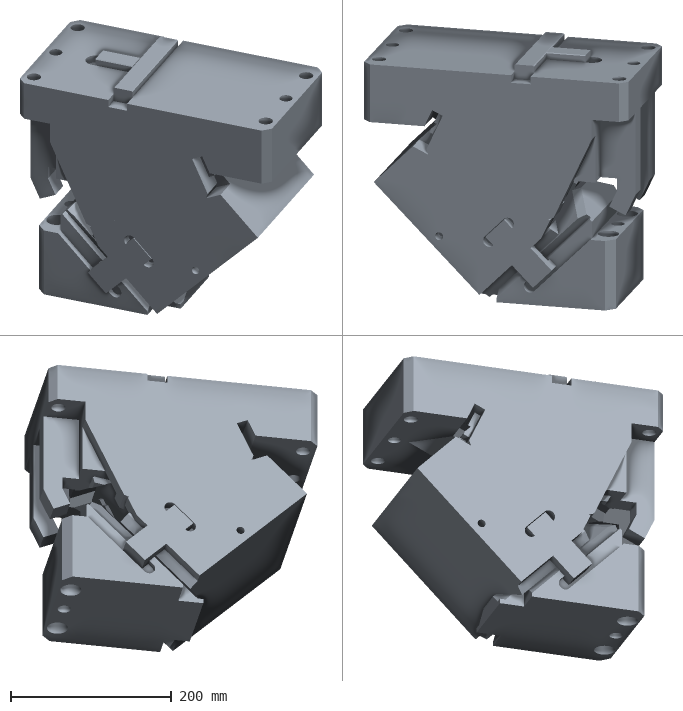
import cadquery as cq
import math

HOLDER_ANGLE = 25.0
BASE_ANGLE = -45.0
SLIDE_COS = math.cos(math.radians(HOLDER_ANGLE))
SLIDE_SIN = math.sin(math.radians(HOLDER_ANGLE))
ROOF_SLOPE = math.tan(math.radians(30.0))
REACH = 408.0

LENGTH = 340.0
WIDTH = 180.0
HALF_WIDTH = WIDTH / 2
TOP_Z = 300.0
PLATE_RIGHT_Z = 225.0
PLATE_LEFT_Z = 250.0
PLATE_CORNER = 10.0
LEFT_HOLE_X = 14.5
LEFT_HOLE_Y = 70.0
RIGHT_HOLE_X = 325.0
RIGHT_HOLE_Y = 64.5
CORNER_HOLE_DIAMETER = 17.7
MIDDLE_HOLE_DIAMETER = 16.3

KEY_TOP_Z = 309.0
KEY_X = 123.5
KEY_WIDTH = 25.0
KEY_LENGTH = 146.2
KEY_BEVEL = 1.0
KEY_SEAT_DEPTH = 10.0
KEY_SEAT_Z = TOP_Z - KEY_SEAT_DEPTH
STEM_X = 73.5
STEM_SEAT_X = 55.8

CHEEK_START = 135.3
CHEEK_END = 316.0
CHEEK_BOTTOM = 63.2
CHEEK_CORNER = 5.0
SLOT_END = 330.8
SLOT_TOP = 118.0

BLOCK_X = 45.0
BLOCK_BACK_X = 102.0
BLOCK_BOTTOM_Z = 163.2
BLOCK_END = 324.0
KEEL_BOTTOM = 74.5
KEEL_END = 408.0
PAD_START = 123.8
PAD_END = 170.0
PAD_HALF = 49.3
PAD_THICKNESS = 11.5
PAD_BOTTOM_Z = 156.7

HOOK_INNER_Y = 21.5
HOOK_THICKNESS = 25.0
HOOK_SHANK = 23.8
HOOK_BEND_Z = 143.5
HOOK_TIP_LENGTH = 30.3
HOOK_TIP_WIDTH = 23.0

NECK_HALF = 59.0
HEAD_HALF = 71.0
HEAD_BOTTOM = 83.0
HEAD_EAVE = 97.2
CREST_HALF = 18.0
THROAT_START = 68.0
RELIEF_HALF = 20.5
RELIEF_PEAK_HALF = 17.0
RELIEF_TOP = 142.8
RIB_HALF = 12.0
RIB_BOTTOM = 136.0

TRUNK_START = 138.0
HEAD_START = 140.5
HEAD_END = 324.0
BOSS_START = 135.5
BOSS_HALF = 15.0
BOSS_BOTTOM = 34.0
BOSS_FLARE_HALF = 20.0
BOSS_FLARE_TOP = 100.3
BOSS_TOP = 111.5
BOSS_CORNER = 3.0

SLIDER_NOSE = 334.2
SLIDER_BACK = 125.5
SLIDER_BOTTOM = 142.0
RIDGE_START = 0.7
RIDGE_HALF = 69.5
RIDGE_BOTTOM = 131.0
RIDGE_OVERLAP = 3.5
KEEPER_START = 32.3
KEEPER_END = 66.3
KEEPER_BOTTOM = 103.7
KEEPER_HOOK_TOP = 115.5
POCKET_CENTRE = 183.5
POCKET_RADIUS = 7.8
POCKET_GAP = 1.0
SIDE_HOLE_X = 241.0
SIDE_HOLE_Z = 84.0
SIDE_HOLE_DIAMETER = 10.2
SIDE_HOLE_DEPTH = 17.0

BASE_X = 20.0
BASE_END_X = 202.3
BASE_HALF = 77.0
BASE_CORNER = 11.0
LEDGE_X = 50.0
LEDGE_Z = 90.0
TAIL_X = 170.7
TAIL_HALF = 45.5
FOOT_Z = 6.0
BASE_HOLE_X = 35.0
BASE_HOLE_Y = 45.2
BASE_HOLE_DIAMETER = 26.2
BASE_MIDDLE_HOLE_DIAMETER = 16.3

BASE_GUIDE_START = -43.5
LEAD_IN_END = -32.0
LEAD_IN_DROP = 5.0
BASE_EAVE = 124.0
BASE_CREST = BASE_EAVE + (BASE_HALF - CREST_HALF) * ROOF_SLOPE
SIDE_WALL_HALF = 69.0
SIDE_SLOT_BOTTOM = 99.3
SIDE_SLOT_RADIUS = 7.8
SIDE_SLOT_END = 73.5
SIDE_SLOT_LIP = 117.5
UNDERCUT_HALF = 62.0
UNDERCUT_ROOT = 119.7
UNDERCUT_TOP = 130.0



def on_slide(angle, along, across):
    """X and Z of a point given along and across a slide."""
    c = math.cos(math.radians(angle))
    s = math.sin(math.radians(angle))
    return along * c - across * s, along * s + across * c


def on_holder(along, across):
    return on_slide(HOLDER_ANGLE, along, across)


def on_base(along, across):
    return on_slide(BASE_ANGLE, along, across)


def slab(outline, y_low, y_high):
    """X-Z outline extruded from y_low to y_high."""
    return cq.Workplane("XZ", origin=(0, y_high, 0)).polyline(outline).close().extrude(y_high - y_low)


def block(x_low, x_high, half_width, z_low, z_high):
    """Upright block centred on Y."""
    outline = [(x_low, z_low), (x_high, z_low), (x_high, z_high), (x_low, z_high)]
    return slab(outline, -half_width, half_width)


def base_slide_block(along_low, along_high, across_low, across_high, y_low, y_high):
    """Block with its sides along and across the base slide."""
    outline = [
        on_base(along_low, across_low), on_base(along_high, across_low),
        on_base(along_high, across_high), on_base(along_low, across_high),
    ]
    return slab(outline, y_low, y_high)


def base_slide_disc(along, across, radius, y_low, y_high):
    x, z = on_base(along, across)
    return cq.Workplane("XZ", origin=(x, y_high, z)).circle(radius).extrude(y_high - y_low)


def section_plane(angle, along):
    """Plane square to a slide, with Y to the side and the slide normal up."""
    x, z = on_slide(angle, along, 0)
    direction_x, direction_z = on_slide(angle, 1, 0)
    return cq.Plane(origin=(x, 0, z), xDir=(0, 1, 0), normal=(direction_x, 0, direction_z))


def rail(angle, start, end, section):
    """Section of (y, across) points extruded along a slide."""
    return cq.Workplane(section_plane(angle, start)).polyline(section).close().extrude(end - start)


def symmetric(half_section):
    """Half section on +Y, listed from the bottom up, completed on -Y."""
    return half_section + [(-y, across) for y, across in reversed(half_section)]


def both_sides(shape):
    return shape.union(shape.mirror("XZ"))


def drill_down(body, x, y, top_z, diameter):
    return body.cut(cq.Workplane(origin=(x, y, top_z)).circle(diameter / 2).extrude(-REACH))



def guide_roof(y):
    return HEAD_EAVE + (HEAD_HALF - y) * ROOF_SLOPE


def guide_section():
    return symmetric([
        (NECK_HALF, CHEEK_BOTTOM), (NECK_HALF, HEAD_BOTTOM), (HEAD_HALF, HEAD_BOTTOM),
        (HEAD_HALF, HEAD_EAVE), (CREST_HALF, guide_roof(CREST_HALF)),
    ])



def holder_profile():
    keel_side_x = (SLOT_END - PLATE_RIGHT_Z * SLIDE_SIN) / SLIDE_COS
    cheek_top_z = (CHEEK_START - BLOCK_X * SLIDE_COS) / SLIDE_SIN
    outline = [
        (0, PLATE_LEFT_Z), (0, TOP_Z), (LENGTH, TOP_Z), (LENGTH, PLATE_RIGHT_Z),
        (keel_side_x, PLATE_RIGHT_Z),
        on_holder(SLOT_END, SLOT_TOP), on_holder(CHEEK_END, SLOT_TOP),
        on_holder(CHEEK_END, CHEEK_BOTTOM + CHEEK_CORNER),
        on_holder(CHEEK_END - CHEEK_CORNER, CHEEK_BOTTOM),
        on_holder(CHEEK_START + CHEEK_CORNER, CHEEK_BOTTOM),
        on_holder(CHEEK_START, CHEEK_BOTTOM + CHEEK_CORNER),
        (BLOCK_X, cheek_top_z), (BLOCK_X, PLATE_LEFT_Z),
    ]
    profile = slab(outline, -HALF_WIDTH, HALF_WIDTH)
    plan = cq.Workplane().box(LENGTH, WIDTH, TOP_Z, centered=(False, True, False))
    return profile.intersect(plan.edges("|Z").chamfer(PLATE_CORNER))


def block_ends():
    """Ends of the inner block: upright on the left, reaching into the cheek slot on the right."""
    left = block(BLOCK_X, BLOCK_BACK_X, HEAD_HALF, BLOCK_BOTTOM_Z, PLATE_LEFT_Z)
    right = rail(HOLDER_ANGLE, CHEEK_END, BLOCK_END, [
        (-HEAD_HALF, HEAD_BOTTOM), (HEAD_HALF, HEAD_BOTTOM), (HEAD_HALF, SLOT_TOP), (-HEAD_HALF, SLOT_TOP),
    ])
    return left.union(right)


def throat():
    """Open space below the inner block, left of the guide."""
    tip_x = (BLOCK_BOTTOM_Z * SLIDE_COS - HEAD_BOTTOM) / SLIDE_SIN
    outline = [
        (BLOCK_X, BLOCK_BOTTOM_Z), on_holder(THROAT_START, HEAD_BOTTOM), (tip_x, BLOCK_BOTTOM_Z),
    ]
    return slab(outline, -HEAD_HALF, HEAD_HALF)


def wear_pad():
    """Sloping pad on one side of the V roof, reaching out past the left end of the cheeks."""
    lower = guide_roof(PAD_HALF)
    upper = guide_roof(CREST_HALF)
    pad = rail(HOLDER_ANGLE, PAD_START, PAD_END, [
        (PAD_HALF, lower), (PAD_HALF + PAD_THICKNESS * ROOF_SLOPE, lower + PAD_THICKNESS),
        (CREST_HALF, upper + PAD_THICKNESS), (CREST_HALF, upper),
    ])
    return pad.intersect(block(0, LENGTH, HEAD_HALF, PAD_BOTTOM_Z, TOP_Z))


def guide_relief():
    """Groove along each side of the crest, with a shallower stretch between them."""
    return rail(HOLDER_ANGLE, THROAT_START, SLOT_END, symmetric([
        (RELIEF_HALF, HEAD_EAVE), (RELIEF_HALF, guide_roof(RELIEF_HALF)),
        (RELIEF_PEAK_HALF, RELIEF_TOP), (RIB_HALF, RIB_BOTTOM),
    ]))


def keel():
    edge = KEEL_BOTTOM + HALF_WIDTH * ROOF_SLOPE
    wedge = rail(HOLDER_ANGLE, SLOT_END, KEEL_END, [
        (0, KEEL_BOTTOM), (HALF_WIDTH, edge), (-HALF_WIDTH, edge),
    ])
    return wedge.intersect(block(0, LENGTH, HALF_WIDTH, 0, PLATE_RIGHT_Z))


def hook():
    """Hook on the +Y side, with its tip bent square to the holder slide."""
    tip_x = HOOK_TIP_LENGTH * SLIDE_SIN
    tip_z = HOOK_BEND_Z - HOOK_TIP_LENGTH * SLIDE_COS
    inner_x = tip_x + HOOK_TIP_WIDTH * SLIDE_COS
    inner_z = tip_z + HOOK_TIP_WIDTH * SLIDE_SIN
    inner_bend_z = inner_z + (inner_x - HOOK_SHANK) * SLIDE_COS / SLIDE_SIN
    outline = [
        (0, PLATE_LEFT_Z), (0, HOOK_BEND_Z), (tip_x, tip_z), (inner_x, inner_z), (HOOK_SHANK, inner_bend_z),
        (HOOK_SHANK, BLOCK_BOTTOM_Z), (BLOCK_X, BLOCK_BOTTOM_Z), (BLOCK_X, PLATE_LEFT_Z),
    ]
    return slab(outline, HOOK_INNER_Y, HOOK_INNER_Y + HOOK_THICKNESS)


def key_seat():
    cross = block(KEY_X, KEY_X + KEY_WIDTH, HALF_WIDTH, KEY_SEAT_Z, TOP_Z)
    length = KEY_X + KEY_WIDTH - STEM_SEAT_X
    stem = cq.Workplane(origin=(STEM_SEAT_X + length / 2, 0, KEY_SEAT_Z)).slot2D(length, KEY_WIDTH)
    return cross.union(stem.extrude(KEY_SEAT_DEPTH))


def key():
    bar = block(KEY_X, KEY_X + KEY_WIDTH, KEY_LENGTH / 2, KEY_SEAT_Z, KEY_TOP_Z)
    stem = block(STEM_X, KEY_X, KEY_WIDTH / 2, KEY_SEAT_Z, KEY_TOP_Z)
    return bar.edges("|Y and >Z").chamfer(KEY_BEVEL).union(stem.edges("|X and >Z").chamfer(KEY_BEVEL))


def make_holder():
    body = holder_profile().union(block_ends()).cut(throat())
    body = body.union(both_sides(wear_pad()))
    body = body.cut(rail(HOLDER_ANGLE, THROAT_START, SLOT_END, guide_section()))
    body = body.cut(guide_relief())
    body = body.union(keel()).union(both_sides(hook()))
    body = body.cut(key_seat()).union(key())
    for x, y in ((LEFT_HOLE_X, LEFT_HOLE_Y), (RIGHT_HOLE_X, RIGHT_HOLE_Y)):
        body = drill_down(body, x, -y, TOP_Z, CORNER_HOLE_DIAMETER)
        body = drill_down(body, x, 0, TOP_Z, MIDDLE_HOLE_DIAMETER)
        body = drill_down(body, x, y, TOP_Z, CORNER_HOLE_DIAMETER)
    return body



def trunk():
    """Full-width part of the slider below the holder cheeks, set back at its left end inside them."""
    below_cheeks = rail(HOLDER_ANGLE, TRUNK_START, REACH, [
        (-HALF_WIDTH, -REACH), (HALF_WIDTH, -REACH), (HALF_WIDTH, CHEEK_BOTTOM), (-HALF_WIDTH, CHEEK_BOTTOM),
    ])
    set_back = rail(HOLDER_ANGLE, TRUNK_START, HEAD_START, [
        (-HEAD_HALF, -REACH), (HEAD_HALF, -REACH), (HEAD_HALF, CHEEK_BOTTOM), (-HEAD_HALF, CHEEK_BOTTOM),
    ])
    return below_cheeks.cut(set_back).intersect(
        base_slide_block(-REACH, SLIDER_BACK, SLIDER_BOTTOM, SLIDER_NOSE, -HALF_WIDTH, HALF_WIDTH)
    )


def slider_guide():
    """Neck and head that fill the holder guide, cut off at the nose."""
    neck = rail(HOLDER_ANGLE, HEAD_START, REACH, [
        (-NECK_HALF, CHEEK_BOTTOM), (NECK_HALF, CHEEK_BOTTOM),
        (NECK_HALF, HEAD_BOTTOM), (-NECK_HALF, HEAD_BOTTOM),
    ])
    head = rail(HOLDER_ANGLE, HEAD_START, HEAD_END, guide_section())
    return neck.union(head).intersect(
        base_slide_block(-REACH, SLIDER_BACK, 0, SLIDER_NOSE, -HALF_WIDTH, HALF_WIDTH)
    )


def boss():
    return rail(HOLDER_ANGLE, BOSS_START, HEAD_START, symmetric([
        (BOSS_FLARE_HALF, BOSS_BOTTOM), (BOSS_FLARE_HALF, BOSS_FLARE_TOP - (BOSS_FLARE_HALF - BOSS_HALF)),
        (BOSS_HALF, BOSS_FLARE_TOP), (BOSS_HALF, BOSS_TOP - BOSS_CORNER), (BOSS_HALF - BOSS_CORNER, BOSS_TOP),
    ]))


def ridge():
    """Lower part of the slider, chamfered inward down to the edges of its V groove."""
    return rail(BASE_ANGLE, RIDGE_START, SLIDER_BACK, symmetric([
        (RIDGE_HALF, RIDGE_BOTTOM), (BASE_HALF, SLIDER_BOTTOM), (BASE_HALF, SLIDER_BOTTOM + RIDGE_OVERLAP),
    ]))


def slider_groove():
    """V groove that straddles the base roof and rests on its flat crest."""
    flat_half = RIDGE_HALF - (BASE_CREST - RIDGE_BOTTOM) / ROOF_SLOPE
    return rail(BASE_ANGLE, BASE_GUIDE_START, SLIDER_BACK, symmetric([
        (RIDGE_HALF, 0), (RIDGE_HALF, RIDGE_BOTTOM), (flat_half, BASE_CREST),
    ]))


def keeper():
    """Hooked foot on the +Y side that reaches into the base side slot."""
    leg = base_slide_block(KEEPER_START, KEEPER_END, KEEPER_BOTTOM, SLIDER_BOTTOM, BASE_HALF, HALF_WIDTH)
    toe = base_slide_block(
        KEEPER_START, KEEPER_END, KEEPER_BOTTOM, KEEPER_HOOK_TOP, SIDE_WALL_HALF, BASE_HALF
    )
    return leg.union(toe)


def keeper_pocket():
    """Gap left around the round-ended top of the +Y keeper."""
    top = POCKET_CENTRE + POCKET_RADIUS
    gap = base_slide_block(KEEPER_START, KEEPER_END, top - POCKET_GAP, top, BASE_HALF, HALF_WIDTH)
    for along in (KEEPER_START, KEEPER_END):
        gap = gap.union(base_slide_disc(along, POCKET_CENTRE, POCKET_RADIUS, BASE_HALF, HALF_WIDTH))
    filled = base_slide_block(
        KEEPER_START, KEEPER_END, POCKET_CENTRE - POCKET_RADIUS, top - POCKET_GAP, BASE_HALF, HALF_WIDTH)
    return gap.cut(filled)


def side_hole():
    face = cq.Workplane("XZ", origin=(SIDE_HOLE_X, HALF_WIDTH, SIDE_HOLE_Z))
    return face.circle(SIDE_HOLE_DIAMETER / 2).extrude(SIDE_HOLE_DEPTH)


def make_slider():
    body = trunk().union(slider_guide()).union(boss()).union(ridge())
    body = body.cut(slider_groove())
    body = body.union(both_sides(keeper()))
    return body.cut(both_sides(keeper_pocket())).cut(both_sides(side_hole()))



def base_roof_section(drop):
    return symmetric([
        (BASE_HALF, -REACH), (BASE_HALF, BASE_EAVE - drop), (CREST_HALF, BASE_CREST - drop),
    ])


def base_guide():
    """V roof with a lead-in at its upper end."""
    roof = rail(BASE_ANGLE, LEAD_IN_END, REACH, base_roof_section(0))
    lead_in = cq.Workplane(section_plane(BASE_ANGLE, BASE_GUIDE_START))
    lead_in = lead_in.polyline(base_roof_section(LEAD_IN_DROP)).close()
    lead_in = lead_in.workplane(offset=LEAD_IN_END - BASE_GUIDE_START)
    lead_in = lead_in.polyline(base_roof_section(0)).close().loft(ruled=True)
    return roof.union(lead_in)


def base_plan():
    """Upright outline of the base behind its ledge, with a narrower tail."""
    front = block(LEDGE_X, TAIL_X, BASE_HALF, 0, TOP_Z)
    return front.union(block(LEDGE_X, BASE_END_X, TAIL_HALF, 0, TOP_Z))


def base_side_slot():
    """Undercut slot on the +Y side, ending in a round pocket past the keeper."""
    slot = rail(BASE_ANGLE, BASE_GUIDE_START, KEEPER_END, [
        (BASE_HALF, SIDE_SLOT_BOTTOM), (SIDE_WALL_HALF, SIDE_SLOT_BOTTOM), (SIDE_WALL_HALF, SIDE_SLOT_LIP),
        (UNDERCUT_HALF, UNDERCUT_ROOT), (SIDE_WALL_HALF, UNDERCUT_TOP), (BASE_HALF, UNDERCUT_TOP),
    ])
    centre = SIDE_SLOT_BOTTOM + SIDE_SLOT_RADIUS
    pocket = base_slide_block(
        KEEPER_START, SIDE_SLOT_END, SIDE_SLOT_BOTTOM, centre + SIDE_SLOT_RADIUS, SIDE_WALL_HALF, BASE_HALF)
    pocket_end = base_slide_disc(SIDE_SLOT_END, centre, SIDE_SLOT_RADIUS, SIDE_WALL_HALF, BASE_HALF)
    return slot.union(pocket).union(pocket_end)


def make_base():
    body = base_guide().intersect(base_plan())
    body = body.union(block(BASE_X, LEDGE_X, BASE_HALF, 0, LEDGE_Z))
    body = body.union(block(LEDGE_X, BASE_END_X, TAIL_HALF, 0, FOOT_Z))
    body = body.edges("|Z and <X").chamfer(BASE_CORNER)
    body = body.cut(both_sides(base_side_slot()))
    body = drill_down(body, BASE_HOLE_X, -BASE_HOLE_Y, LEDGE_Z, BASE_HOLE_DIAMETER)
    body = drill_down(body, BASE_HOLE_X, 0, LEDGE_Z, BASE_MIDDLE_HOLE_DIAMETER)
    return drill_down(body, BASE_HOLE_X, BASE_HOLE_Y, LEDGE_Z, BASE_HOLE_DIAMETER)


holder = make_holder()
slider = make_slider()
base = make_base()
result = cq.Compound.makeCompound([holder.val(), slider.val(), base.val()])